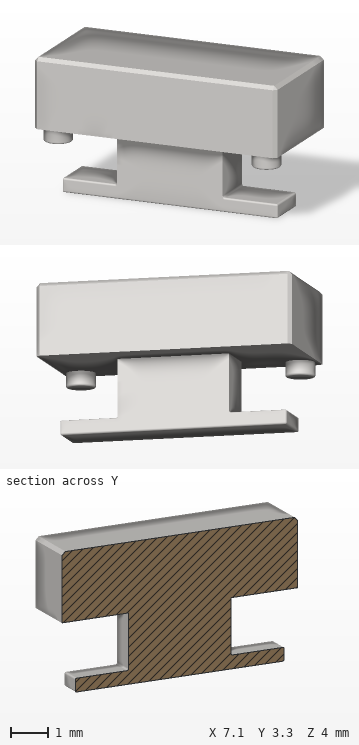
import cadquery as cq

body_length = 7.1
body_width = 3.3
body_height = 2.0
body_chamfer = 0.1

key_width = 1.3
stem_length = 3.1
foot_length = 6.3
foot_height = 0.4
foot_fillet = 0.05
zone_margin = foot_fillet / 2

pin_diameter = 0.8
pin_height = 0.4
pin_fillet = 0.05
pin_edge_distance = 0.5

total_height = 4.0
body_bottom = total_height - body_height


def make_body():
    """Block with chamfered upright and top edges and a sharp bottom rim."""
    block = cq.Workplane("XY", origin=(0, 0, body_bottom)).box(
        body_length, body_width, body_height, centered=(True, True, False)
    )
    return block.edges("|Z or >Z").chamfer(body_chamfer)


def height_zone(lowest, highest):
    """Selector for key edges whose centres lie between two heights."""
    return cq.selectors.BoxSelector(
        (-foot_length, -key_width, lowest - zone_margin),
        (foot_length, key_width, highest + zone_margin),
    )


def make_key():
    """Stem and foot, with the foot's edges and its corners with the stem rounded."""
    foot = cq.Workplane("XY").box(
        foot_length, key_width, foot_height, centered=(True, True, False)
    )
    stem = cq.Workplane("XY").box(
        stem_length, key_width, body_bottom, centered=(True, True, False)
    )
    key = foot.union(stem).clean()
    key = key.edges(height_zone(0, foot_height / 2)).fillet(foot_fillet)
    return key.edges(height_zone(foot_height, foot_height)).fillet(foot_fillet)


def make_pin(x, y):
    """Round pin hanging from the body, with a rounded lower rim."""
    pin = (
        cq.Workplane("XY", origin=(x, y, body_bottom))
        .circle(pin_diameter / 2)
        .extrude(-pin_height)
    )
    return pin.faces("<Z").edges().fillet(pin_fillet)


pin_x = body_length / 2 - pin_edge_distance
pin_y = -(body_width / 2 - pin_edge_distance)

result = make_body().union(make_key())
for side in (-1, 1):
    result = result.union(make_pin(side * pin_x, pin_y))